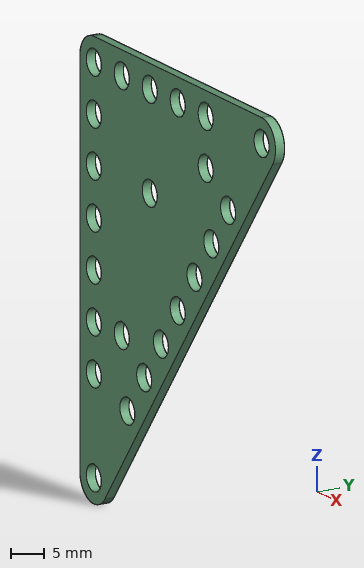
import cadquery as cq
import math

height = 72.0
pitches_tall = 9
pitch = height / pitches_tall
thickness = 1.6
hole_diameter = 4.25
corner_radius = pitch / 2
back_face = (0, thickness / 2, 0)

columns = 6
rows = 8
long_edge = math.hypot(columns, rows)


def place(column, row):
    """Position of a hole, counted right and down from the right-angled corner."""
    x = (column - columns / 2) * pitch
    z = (rows / 2 - row) * pitch
    return (x, z)


top_holes = [place(column, 0) for column in (0, 1, 2, 3, 4, 6)]
side_holes = [place(0, row) for row in (1, 2, 3, 4, 5, 6, 8)]
sloping_holes = [
    place(columns * (1 - step / long_edge), rows * step / long_edge)
    for step in range(2, 9)
]
inner_holes = [place(4, 1), place(2, 2), place(1, 5)]
hole_places = top_holes + side_holes + sloping_holes + inner_holes


def make_plate():
    """Right-angled triangle with its corners rounded about the corner holes."""
    corners = [place(0, 0), place(columns, 0), place(0, rows)]
    return (
        cq.Workplane("XZ", origin=back_face)
        .polyline(corners)
        .close()
        .offset2D(corner_radius, "arc")
        .extrude(thickness)
    )


def make_holes():
    """Round cutters passing through the plate."""
    return (
        cq.Workplane("XZ", origin=back_face)
        .pushPoints(hole_places)
        .circle(hole_diameter / 2)
        .extrude(thickness)
    )


result = make_plate().cut(make_holes())